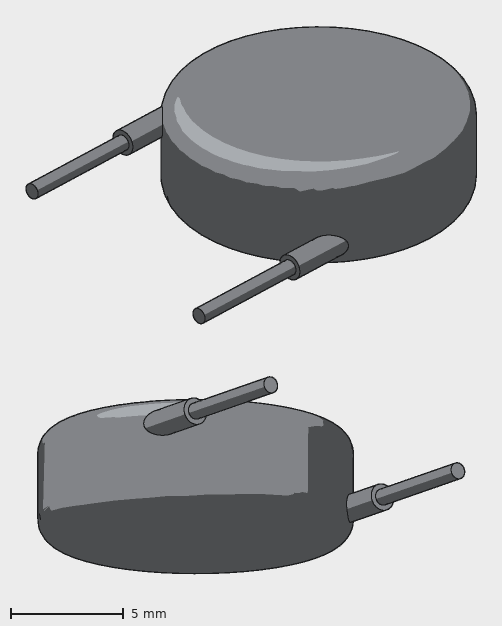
import math

import cadquery as cq

disc_diameter = 14.0
disc_thickness = 5.0
rim_fillet = 1.0

overall_length = 20.38
lead_spacing = 10.0
lead_height_offset = 1.28
wire_diameter = 0.73
sleeve_diameter = 1.2
sleeve_end_y = -7.4

disc_radius = disc_diameter / 2
wire_end_y = disc_radius - overall_length
wire_start_y = -math.sqrt(disc_radius**2 - (lead_spacing / 2) ** 2)

lead_axes = [(side * lead_spacing / 2, -side * lead_height_offset) for side in (-1, 1)]


def rod(axis, start_y, end_y, diameter):
    """Round rod along -Y, from start_y to end_y, on the given (X, Z) axis."""
    x, z = axis
    return (
        cq.Workplane("XZ", origin=(x, start_y, z))
        .circle(diameter / 2)
        .extrude(start_y - end_y)
    )


def make_wire(axis):
    """Bare wire that sits in its sleeve and runs on to the free end."""
    return rod(axis, wire_start_y, wire_end_y, wire_diameter)


def make_coating(wires):
    """Rounded disc with a sleeve run down each wire, bored to fit the wires."""
    coating = (
        cq.Workplane("XY")
        .cylinder(disc_thickness, disc_radius)
        .faces("<Z or >Z")
        .edges()
        .fillet(rim_fillet)
    )
    for axis in lead_axes:
        coating = coating.union(rod(axis, 0, sleeve_end_y, sleeve_diameter))
    for wire in wires:
        coating = coating.cut(wire)
    return coating.solids()


wires = [make_wire(axis) for axis in lead_axes]
coating = make_coating(wires)

result = cq.Compound.makeCompound([coating.val(), *[wire.val() for wire in wires]])